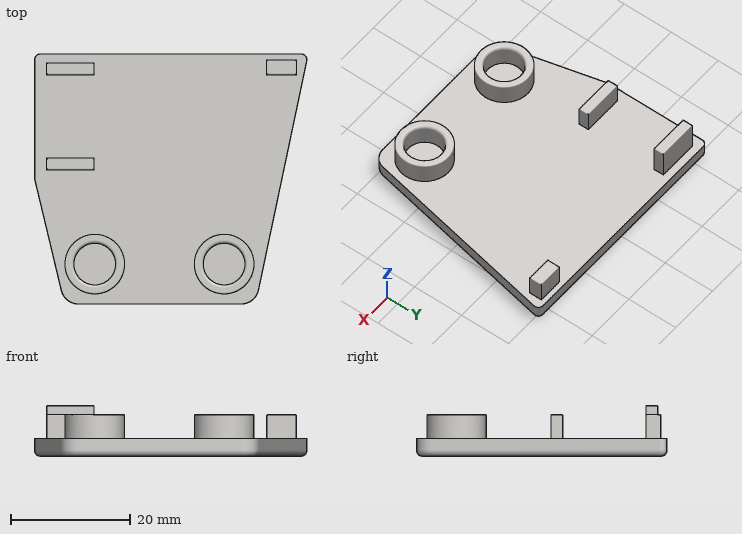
import cadquery as cq
import math

width = 45.75
length = 42.05
plate_thickness = 3.0
bottom_edge_radius = 1.0
back_corner_radius = 1.0
front_corner_radius = 3.0
left_bend_y = -21.0
front_left_x = 5.05
right_side_angle = math.radians(11.9)

boss_diameter = 10.0
bore_diameter = 7.0
boss_height = 4.0
boss_y = -35.33
boss_xs = (10.1, 31.85)
boss_rim_radius = 0.2
bore_rim_radius = 0.5

tab_thickness = 2.0
tab_length = 8.0
left_tab_x = 2.0
tall_tab_height = 5.5
short_tab_height = 4.0
back_tabs_y = -3.52
middle_tab_y = -19.5
right_tab_x = 39.0
right_tab_length = 5.0
right_tab_thickness = 2.5
tab_edge_radius = 0.2


def make_plate():
    overhang = (1 + math.sin(right_side_angle)) / math.cos(right_side_angle) - 1
    back_right_x = width + back_corner_radius * overhang
    front_right_x = back_right_x - length * math.tan(right_side_angle)
    outline = [
        (0, 0),
        (0, left_bend_y),
        (front_left_x, -length),
        (front_right_x, -length),
        (back_right_x, 0),
    ]
    plate = cq.Workplane("XY").polyline(outline).close().extrude(-plate_thickness)
    plate = plate.edges("|Z").edges(">Y").fillet(back_corner_radius)
    plate = plate.edges("|Z").edges("<Y").fillet(front_corner_radius)
    return plate.faces("<Z").edges().fillet(bottom_edge_radius)


def make_boss(x):
    boss = cq.Workplane("XY").circle(boss_diameter / 2).circle(bore_diameter / 2).extrude(boss_height)
    boss = boss.faces(">Z").edges(cq.selectors.RadiusNthSelector(0)).fillet(bore_rim_radius)
    boss = boss.faces(">Z").edges(cq.selectors.RadiusNthSelector(-1)).fillet(boss_rim_radius)
    return boss.translate((x, boss_y, 0))


def make_tab(x, y, tab_size_x, tab_size_y, height):
    tab = cq.Workplane("XY").box(tab_size_x, tab_size_y, height, centered=False)
    return tab.faces(">Z").edges().fillet(tab_edge_radius).translate((x, y, 0))


result = make_plate()
for boss_x in boss_xs:
    result = result.union(make_boss(boss_x))

tabs = (
    (left_tab_x, back_tabs_y, tab_length, tab_thickness, tall_tab_height),
    (left_tab_x, middle_tab_y, tab_length, tab_thickness, short_tab_height),
    (right_tab_x, back_tabs_y, right_tab_length, right_tab_thickness, short_tab_height),
)
for tab in tabs:
    result = result.union(make_tab(*tab))